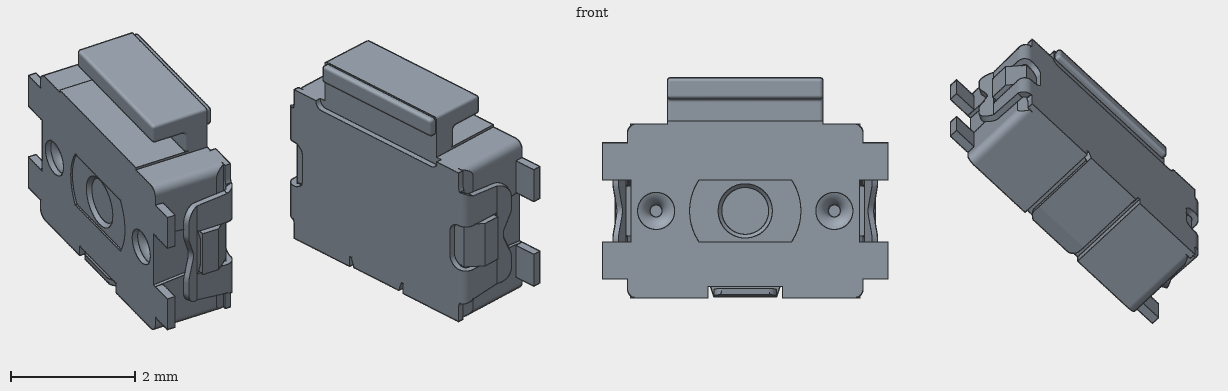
import cadquery as cq
import math


BODY_HALF_WIDTH = 1.9
BODY_HALF_HEIGHT = 1.405
BODY_DEPTH = 1.315
BODY_CORNER_RADIUS = 0.15
BACK_CHAMFER_WIDTH = 0.105
BACK_CHAMFER_DEPTH = 0.185

NOTCH_DEPTH = 0.06
NOTCH_FRONT_HALF = 0.495
NOTCH_BACK_HALF = 0.375

TAB_REACH = 2.3
TAB_THICKNESS = 0.143
TAB_INNER_Z = NOTCH_FRONT_HALF
TAB_OUTER_Z = 1.1

HOOK_ROOT_X = 1.655
HOOK_TIP_X = 2.098
HOOK_HALF_HEIGHT = 0.4
HOOK_FRONT_Y = 0.765
HOOK_RAMP_RISE = 0.22
HOOK_RAMP_LENGTH = 0.258

LENS_RADIUS = 0.895
LENS_DEPTH = 0.03
CENTER_HOLE_RADIUS = 0.435
CENTER_FLOOR_RADIUS = 0.375
CENTER_HOLE_DEPTH = 0.1
DIMPLE_X = 1.435
DIMPLE_RADIUS = 0.3
DIMPLE_RIM_DEPTH = 0.1
DIMPLE_FLOOR_RADIUS = 0.095
DIMPLE_DEPTH = 0.32
DIMPLE_FLARE = 0.35

CHANNEL_HALF_WIDTH = 0.6
CHANNEL_ROOF_Z = -1.22

ACTUATOR_HALF_WIDTH = 1.255
SHOULDER_Z = 1.445
STEM_FRONT_Y = 0.915
HEAD_FRONT_Y = 0.317
HEAD_BOTTOM_Z = 1.805
HEAD_FRONT_TOP_Z = 2.135
TOP_Z = 2.15
ACTUATOR_ROUND = 0.055
PAD_HALF_WIDTH = 1.23
PAD_BOTTOM_Z = 1.805
PAD_TOP_Z = 2.12

SHEET = 0.1
BACK_Y = BODY_DEPTH + SHEET
PLATE_HALF_WIDTH = 1.85
BEND_RADIUS = 0.155
BEND_Y = BACK_Y - BEND_RADIUS
PLATE_NOTCH_HALF_WIDTH = 1.355
PLATE_NOTCH_DEPTH = 0.14
PLATE_NOTCH_ROUND = 0.125
LEG_OUTER_X = 2.02
LEG_INNER_X = LEG_OUTER_X - SHEET
LEG_END_Y = 0.705
LEG_BACK_HALF = 1.05
LEG_BEND_HALF = 0.975
LEG_END_HALF = 0.92
RELIEF_WIDTH = 0.025
RELIEF_HEIGHT = 0.087
WINDOW_HALF = 0.415
WINDOW_FRONT_Y = HOOK_FRONT_Y
WINDOW_CORNER_Y = 0.718
WINDOW_CORNER_HEIGHT = 0.155
WINDOW_INNER_X = HOOK_ROOT_X
WINDOW_ROUND = 0.195
FLAP_ANGLE = math.radians(27.5)
FLAP_LENGTH = 0.245
MITRE_Y = LEG_END_Y - SHEET * math.sin(FLAP_ANGLE)
FLAP_TIP_HALF = 0.665
FLAP_WAVE_HALF = 0.455
FLAP_SHOULDER = 0.22
FLAP_SHOULDER_HALF = 0.34
FLAP_DIP = 0.13
FLAP_DIP_HALF = 0.105
FLAP_VALLEY = 0.105

TONGUE_HALF_WIDTH = 0.505
TONGUE_BOTTOM_Z = -1.385
TONGUE_BEND_Y = 0.23
TONGUE_TIP_Y = -0.025
TONGUE_TIP_SLANT = 0.01
TONGUE_TIP_TOP_Z = -1.245
TONGUE_FLARE = 0.055
TONGUE_ROUND = 0.16


def block(x0, x1, y0, y1, z0, z1):
    """Box between opposite corners."""
    return cq.Workplane("XY").box(x1 - x0, y1 - y0, z1 - z0, centered=False).translate((x0, y0, z0))


def wide_block(half_width, y0, y1, z0, z1):
    """Box centred on the X = 0 plane."""
    return block(-half_width, half_width, y0, y1, z0, z1)


def both_sides(solid):
    """The +X solid together with its mirror image."""
    return solid.union(solid.mirror("YZ"))


def plan_prism(points, half_height):
    """Closed XY outline extruded equally up and down."""
    return cq.Workplane("XY").polyline(points).close().extrude(half_height, both=True)


def side_prism(points, x0, x1):
    """Closed YZ outline extruded from x0 to x1."""
    return cq.Workplane("YZ").workplane(offset=x0).polyline(points).close().extrude(x1 - x0)


def make_housing():
    body = wide_block(BODY_HALF_WIDTH, 0, BODY_DEPTH, -BODY_HALF_HEIGHT, BODY_HALF_HEIGHT)
    body = body.edges("|Y").fillet(BODY_CORNER_RADIUS)
    chamfer = plan_prism(
        [
            (BODY_HALF_WIDTH, BODY_DEPTH - BACK_CHAMFER_DEPTH),
            (BODY_HALF_WIDTH, BODY_DEPTH),
            (BODY_HALF_WIDTH - BACK_CHAMFER_WIDTH, BODY_DEPTH),
        ],
        BODY_HALF_HEIGHT,
    )
    notch = side_prism(
        [
            (0, -NOTCH_FRONT_HALF),
            (BODY_DEPTH, -NOTCH_BACK_HALF),
            (BODY_DEPTH, NOTCH_BACK_HALF),
            (0, NOTCH_FRONT_HALF),
        ],
        BODY_HALF_WIDTH - NOTCH_DEPTH,
        BODY_HALF_WIDTH,
    )
    channel = wide_block(CHANNEL_HALF_WIDTH, 0, BODY_DEPTH, -BODY_HALF_HEIGHT, CHANNEL_ROOF_Z)
    return body.cut(both_sides(chamfer)).cut(both_sides(notch)).cut(channel)


def make_solder_tabs():
    root_x = BODY_HALF_WIDTH - NOTCH_DEPTH
    upper = block(root_x, TAB_REACH, 0, TAB_THICKNESS, TAB_INNER_Z, TAB_OUTER_Z)
    return both_sides(upper.union(upper.mirror("XY")))


def make_hooks():
    hook = plan_prism(
        [
            (HOOK_ROOT_X, HOOK_FRONT_Y),
            (HOOK_TIP_X, HOOK_FRONT_Y),
            (HOOK_TIP_X, BODY_DEPTH - HOOK_RAMP_LENGTH),
            (HOOK_TIP_X - HOOK_RAMP_RISE, BODY_DEPTH),
            (HOOK_ROOT_X, BODY_DEPTH),
        ],
        HOOK_HALF_HEIGHT,
    )
    return both_sides(hook)


def make_lens_recess():
    """Shallow round recess with flat top and bottom."""
    disc = cq.Workplane("XZ").circle(LENS_RADIUS).extrude(-LENS_DEPTH)
    return disc.intersect(wide_block(LENS_RADIUS, 0, LENS_DEPTH, -NOTCH_FRONT_HALF, NOTCH_FRONT_HALF))


def make_center_hole():
    """Blind hole whose wall narrows towards its floor."""
    return (
        cq.Workplane("XY")
        .polyline(
            [
                (0, 0),
                (CENTER_HOLE_RADIUS, 0),
                (CENTER_HOLE_RADIUS, LENS_DEPTH),
                (CENTER_FLOOR_RADIUS, CENTER_HOLE_DEPTH),
                (0, CENTER_HOLE_DEPTH),
            ]
        )
        .close()
        .revolve(360, (0, 0), (0, 1))
    )


def make_dimples():
    """Round pockets with a straight rim that funnels down to a small flat floor."""
    funnel_width = DIMPLE_RADIUS - DIMPLE_FLOOR_RADIUS
    funnel_depth = DIMPLE_DEPTH - DIMPLE_RIM_DEPTH
    middle = (
        DIMPLE_FLOOR_RADIUS + DIMPLE_FLARE * funnel_width,
        DIMPLE_RIM_DEPTH + DIMPLE_FLARE * funnel_depth,
    )
    dimple = (
        cq.Workplane("XY")
        .lineTo(DIMPLE_RADIUS, 0)
        .lineTo(DIMPLE_RADIUS, DIMPLE_RIM_DEPTH)
        .threePointArc(middle, (DIMPLE_FLOOR_RADIUS, DIMPLE_DEPTH))
        .lineTo(0, DIMPLE_DEPTH)
        .close()
        .revolve(360, (0, 0), (0, 1))
    )
    return both_sides(dimple.translate((DIMPLE_X, 0, 0)))


def make_actuator():
    """Raised shoulder, upright stem, overhanging head and back pad."""
    profile = [
        (BODY_DEPTH, SHOULDER_Z - ACTUATOR_ROUND),
        (BODY_DEPTH, TOP_Z),
        (HEAD_FRONT_Y, HEAD_FRONT_TOP_Z),
        (HEAD_FRONT_Y, HEAD_BOTTOM_Z),
        (STEM_FRONT_Y, HEAD_BOTTOM_Z),
        (STEM_FRONT_Y, SHOULDER_Z - ACTUATOR_ROUND),
    ]
    lever = side_prism(profile, -ACTUATOR_HALF_WIDTH, ACTUATOR_HALF_WIDTH)
    inner_corner = cq.selectors.NearestToPointSelector((0, STEM_FRONT_Y, HEAD_BOTTOM_Z))
    lever = lever.edges(inner_corner).fillet(ACTUATOR_ROUND)
    side_edges = lever.faces("<X or >X").edges("not (>Y or <Z)")
    front_edges = lever.faces("<Y").edges("|X")
    lever = side_edges.add(front_edges).fillet(ACTUATOR_ROUND)

    shoulder = wide_block(ACTUATOR_HALF_WIDTH, 0, BODY_DEPTH, CHANNEL_ROOF_Z, SHOULDER_Z)
    pad = wide_block(PAD_HALF_WIDTH, BODY_DEPTH, BACK_Y, PAD_BOTTOM_Z, PAD_TOP_Z)
    pad = pad.edges("not <Y").fillet(ACTUATOR_ROUND)
    return shoulder.union(lever).union(pad)


def make_rolled_strip(half_height):
    """Sheet that rounds the +X back corner and ends mitred at the flap."""
    bend_x = LEG_OUTER_X - BEND_RADIUS
    inner_radius = BEND_RADIUS - SHEET
    diagonal = math.sqrt(0.5)
    return (
        cq.Workplane("XY")
        .moveTo(WINDOW_INNER_X, BACK_Y)
        .lineTo(bend_x, BACK_Y)
        .threePointArc(
            (bend_x + BEND_RADIUS * diagonal, BEND_Y + BEND_RADIUS * diagonal),
            (LEG_OUTER_X, BEND_Y),
        )
        .lineTo(LEG_OUTER_X, LEG_END_Y)
        .lineTo(LEG_OUTER_X - SHEET * math.cos(FLAP_ANGLE), MITRE_Y)
        .lineTo(LEG_INNER_X, LEG_END_Y)
        .lineTo(LEG_INNER_X, BEND_Y)
        .threePointArc(
            (bend_x + inner_radius * diagonal, BEND_Y + inner_radius * diagonal),
            (bend_x, BODY_DEPTH),
        )
        .lineTo(WINDOW_INNER_X, BODY_DEPTH)
        .close()
        .extrude(half_height, both=True)
    )


def make_cover_side():
    """Rolled edge of the +X side: tapered leg and the flared wavy flap."""
    outline = side_prism(
        [
            (BACK_Y, -LEG_BACK_HALF),
            (BEND_Y, -LEG_BEND_HALF),
            (LEG_END_Y, -LEG_END_HALF),
            (MITRE_Y, -LEG_END_HALF),
            (MITRE_Y, LEG_END_HALF),
            (LEG_END_Y, LEG_END_HALF),
            (BEND_Y, LEG_BEND_HALF),
            (BACK_Y, LEG_BACK_HALF),
        ],
        WINDOW_INNER_X,
        LEG_OUTER_X,
    )

    slope = (math.sin(FLAP_ANGLE), -math.cos(FLAP_ANGLE), 0)
    inward = (-math.cos(FLAP_ANGLE), -math.sin(FLAP_ANGLE), 0)
    corner_size = LEG_END_HALF - FLAP_TIP_HALF
    bulge_z = FLAP_TIP_HALF + corner_size * math.sqrt(0.5)
    bulge = FLAP_LENGTH * math.sqrt(0.5)
    flap = (
        cq.Workplane(cq.Plane((LEG_OUTER_X, LEG_END_Y, 0), slope, inward))
        .moveTo(0, LEG_END_HALF)
        .threePointArc((bulge, bulge_z), (FLAP_LENGTH, FLAP_TIP_HALF))
        .lineTo(FLAP_LENGTH, FLAP_WAVE_HALF)
        .tangentArcPoint((FLAP_SHOULDER, FLAP_SHOULDER_HALF), relative=False)
        .lineTo(FLAP_DIP, FLAP_DIP_HALF)
        .threePointArc((FLAP_VALLEY, 0), (FLAP_DIP, -FLAP_DIP_HALF))
        .lineTo(FLAP_SHOULDER, -FLAP_SHOULDER_HALF)
        .tangentArcPoint((FLAP_LENGTH, -FLAP_WAVE_HALF), relative=False)
        .lineTo(FLAP_LENGTH, -FLAP_TIP_HALF)
        .threePointArc((bulge, -bulge_z), (0, -LEG_END_HALF))
        .close()
        .extrude(SHEET)
    )
    return make_rolled_strip(LEG_BACK_HALF).intersect(outline).union(flap)


def make_windows():
    """Openings around the hooks: rounded corners in the plate, pointed corners in the leg."""
    window = block(WINDOW_INNER_X, LEG_OUTER_X, WINDOW_FRONT_Y, BACK_Y, -WINDOW_HALF, WINDOW_HALF)
    window = window.edges("|Y and <X").fillet(WINDOW_ROUND)
    corner = side_prism(
        [
            (WINDOW_FRONT_Y, WINDOW_HALF),
            (WINDOW_CORNER_Y, WINDOW_HALF),
            (WINDOW_FRONT_Y, WINDOW_HALF - WINDOW_CORNER_HEIGHT),
        ],
        LEG_INNER_X,
        LEG_OUTER_X,
    )
    return both_sides(window.union(corner).union(corner.mirror("XY")))


def make_plate_reliefs():
    """Concave corners where the rolled edge leaves the side of the plate."""
    outer_x = PLATE_HALF_WIDTH + RELIEF_WIDTH
    outer_z = LEG_BACK_HALF + RELIEF_HEIGHT
    radius = (RELIEF_WIDTH**2 + RELIEF_HEIGHT**2) / (2 * RELIEF_WIDTH)
    corner = block(PLATE_HALF_WIDTH, outer_x, BODY_DEPTH, BACK_Y, LEG_BEND_HALF, outer_z)
    center_x = PLATE_HALF_WIDTH + radius
    round_cut = cq.Workplane("XZ").center(center_x, outer_z).circle(radius).extrude(-BACK_Y)
    upper = corner.cut(round_cut).intersect(make_rolled_strip(BODY_HALF_HEIGHT))
    return both_sides(upper.union(upper.mirror("XY")))


def make_tongue():
    """Strip under the housing with rounded front corners and a tip bent slightly up."""
    top_z = TONGUE_BOTTOM_Z + SHEET
    profile = [
        (TONGUE_TIP_Y, TONGUE_TIP_TOP_Z),
        (TONGUE_TIP_Y + TONGUE_TIP_SLANT, TONGUE_TIP_TOP_Z - SHEET),
        (TONGUE_BEND_Y, TONGUE_BOTTOM_Z),
        (BACK_Y, TONGUE_BOTTOM_Z),
        (BACK_Y, top_z),
        (TONGUE_BEND_Y, top_z),
    ]
    strip = side_prism(profile, -TONGUE_HALF_WIDTH, TONGUE_HALF_WIDTH)
    plan = wide_block(TONGUE_HALF_WIDTH, TONGUE_TIP_Y, BACK_Y, TONGUE_BOTTOM_Z, CHANNEL_ROOF_Z)
    strip = strip.intersect(plan.edges("|Z and <Y").fillet(TONGUE_ROUND))
    root_x = TONGUE_HALF_WIDTH + TONGUE_FLARE
    root = (
        cq.Workplane("XZ", origin=(0, BODY_DEPTH, 0))
        .moveTo(-TONGUE_HALF_WIDTH, TONGUE_BOTTOM_Z)
        .lineTo(TONGUE_HALF_WIDTH, TONGUE_BOTTOM_Z)
        .lineTo(root_x, CHANNEL_ROOF_Z)
        .lineTo(-root_x, CHANNEL_ROOF_Z)
        .close()
        .extrude(-SHEET)
    )
    return strip.union(root)


def make_cover():
    plate = wide_block(PLATE_HALF_WIDTH, BODY_DEPTH, BACK_Y, -BODY_HALF_HEIGHT, BODY_HALF_HEIGHT)
    notch_floor = BODY_HALF_HEIGHT - PLATE_NOTCH_DEPTH
    notch = wide_block(PLATE_NOTCH_HALF_WIDTH, BODY_DEPTH, BACK_Y, notch_floor, BODY_HALF_HEIGHT)
    notch = notch.edges("|Y and <Z").fillet(PLATE_NOTCH_ROUND)
    channel = wide_block(CHANNEL_HALF_WIDTH, BODY_DEPTH, BACK_Y, -BODY_HALF_HEIGHT, CHANNEL_ROOF_Z)
    plate = plate.cut(notch).cut(channel).union(make_plate_reliefs())
    cover = plate.union(both_sides(make_cover_side())).cut(make_windows())
    return cover.union(make_tongue())


housing = make_housing().union(make_solder_tabs()).union(make_hooks())
housing = housing.union(make_actuator())
housing = housing.cut(make_lens_recess()).cut(make_center_hole()).cut(make_dimples())
result = housing.union(make_cover())